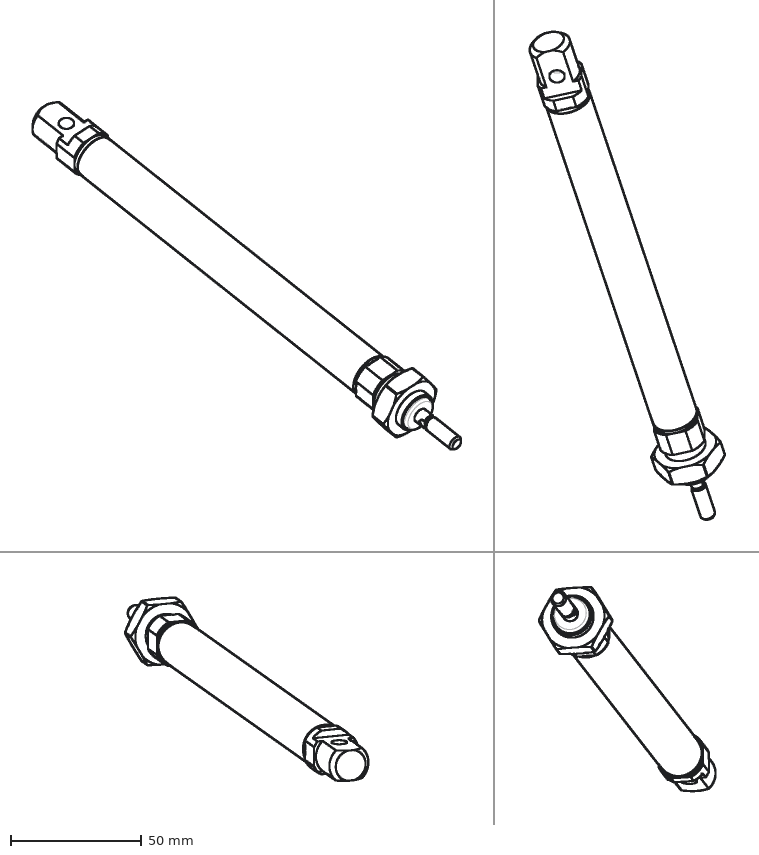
import cadquery as cq
import math

total_length = 236.0
cap_diameter = 19.0
cap_flats = 17.5
band_diameter = 17.2
tube_diameter = 17.7
spigot_diameter = 16.0

tongue_thickness = 12.0
tongue_end_chamfer = 2.0
pivot_diameter = 6.0
pivot_x = 12.5
rear_cap_x = 16.5
rear_shoulder_x = 21.5
rear_block_end_x = 26.7
tube_start_x = 28.5

tube_end_x = 186.5
front_block_x = 187.9
neck_start_x = 197.8
nut_x = 202.0
nut_thickness = 8.0
nut_flats = 24.0
nut_face_diameter = 24.5
nut_crown_diameter = 27.5
nut_chamfer_angle = 30.0
neck_end_x = 213.0
nose_end_x = 215.0
nose_diameter = 14.5
nose_fillet = 1.0

rod_diameter = 6.0
recess_diameter = 4.2
recess_x = 219.7
recess_floor_width = 4.5
groove_x = 220.0
groove_width = 1.2
groove_diameter = 4.7
rod_tip_chamfer_length = 1.0
rod_tip_chamfer_depth = 0.7


def cylinder_x(start, end, diameter):
    """Solid cylinder on the X axis between two stations."""
    return cq.Workplane("YZ", origin=(start, 0, 0)).circle(diameter / 2).extrude(end - start)


def box_x(start, end, width, height):
    """Box centred on the X axis between two stations."""
    return cq.Workplane("YZ", origin=(start, 0, 0)).rect(width, height).extrude(end - start)


def flatted_cap(start, end):
    """Round cap block with four wrench flats."""
    return cylinder_x(start, end, cap_diameter).intersect(box_x(start, end, cap_flats, cap_flats))


def make_rear_cap():
    tongue = cylinder_x(0, rear_shoulder_x, spigot_diameter).faces("<X").chamfer(tongue_end_chamfer)
    cap = flatted_cap(rear_cap_x, rear_block_end_x).union(tongue)
    cap = cap.union(cylinder_x(rear_block_end_x, tube_start_x, band_diameter))
    envelope = box_x(0, rear_shoulder_x, cap_diameter, tongue_thickness)
    envelope = envelope.union(box_x(rear_shoulder_x, tube_start_x, cap_diameter, cap_diameter))
    pivot = cq.Workplane("XY").center(pivot_x, 0).circle(pivot_diameter / 2).extrude(cap_diameter, both=True)
    return cap.intersect(envelope).cut(pivot)


def make_tube():
    return cylinder_x(tube_start_x, tube_end_x, tube_diameter)


def make_front_cap():
    nose = cylinder_x(neck_end_x, nose_end_x, nose_diameter).faces(">X").edges().fillet(nose_fillet)
    cap = flatted_cap(front_block_x, neck_start_x)
    cap = cap.union(cylinder_x(tube_end_x, front_block_x, band_diameter))
    cap = cap.union(cylinder_x(neck_start_x, neck_end_x, spigot_diameter)).union(nose)
    return cap.cut(cylinder_x(tube_end_x, nose_end_x, rod_diameter))


def make_nut():
    corner_diameter = nut_flats / math.cos(math.pi / 6)
    nut = cq.Workplane("YZ", origin=(nut_x, 0, 0)).polygon(6, corner_diameter).extrude(nut_thickness)
    face_radius = nut_face_diameter / 2
    crown_radius = nut_crown_diameter / 2
    chamfer_length = (crown_radius - face_radius) * math.tan(math.radians(nut_chamfer_angle))
    nut_end_x = nut_x + nut_thickness
    crown = (
        cq.Workplane("XY")
        .moveTo(nut_x, 0)
        .lineTo(nut_x, face_radius)
        .lineTo(nut_x + chamfer_length, crown_radius)
        .lineTo(nut_end_x - chamfer_length, crown_radius)
        .lineTo(nut_end_x, face_radius)
        .lineTo(nut_end_x, 0)
        .close()
        .revolve(360, (0, 0, 0), (1, 0, 0))
    )
    return nut.intersect(crown).cut(cylinder_x(nut_x, nut_end_x, spigot_diameter))


def make_rod():
    tip_radius = rod_diameter / 2 - rod_tip_chamfer_depth
    tip_x = total_length - rod_tip_chamfer_length
    tip = cq.Workplane("YZ", origin=(tip_x, 0, 0)).circle(rod_diameter / 2)
    tip = tip.workplane(offset=rod_tip_chamfer_length).circle(tip_radius).loft(ruled=True)
    rod = cylinder_x(tube_end_x, tip_x, rod_diameter).union(tip)
    groove_end_x = groove_x + groove_width
    groove = cylinder_x(groove_x, groove_end_x, rod_diameter)
    groove = groove.cut(cylinder_x(groove_x, groove_end_x, groove_diameter))
    rod = rod.cut(groove)
    for side in (-1, 1):
        floor = cq.Workplane("XZ", origin=(recess_x, side * recess_floor_width / 2, 0))
        rod = rod.cut(floor.circle(recess_diameter / 2).extrude(-side * rod_diameter))
    return rod


rear_cap = make_rear_cap()
tube = make_tube()
front_cap = make_front_cap()
nut = make_nut()
rod = make_rod()

result = cq.Compound.makeCompound([rear_cap.val(), tube.val(), front_cap.val(), nut.val(), rod.val()])